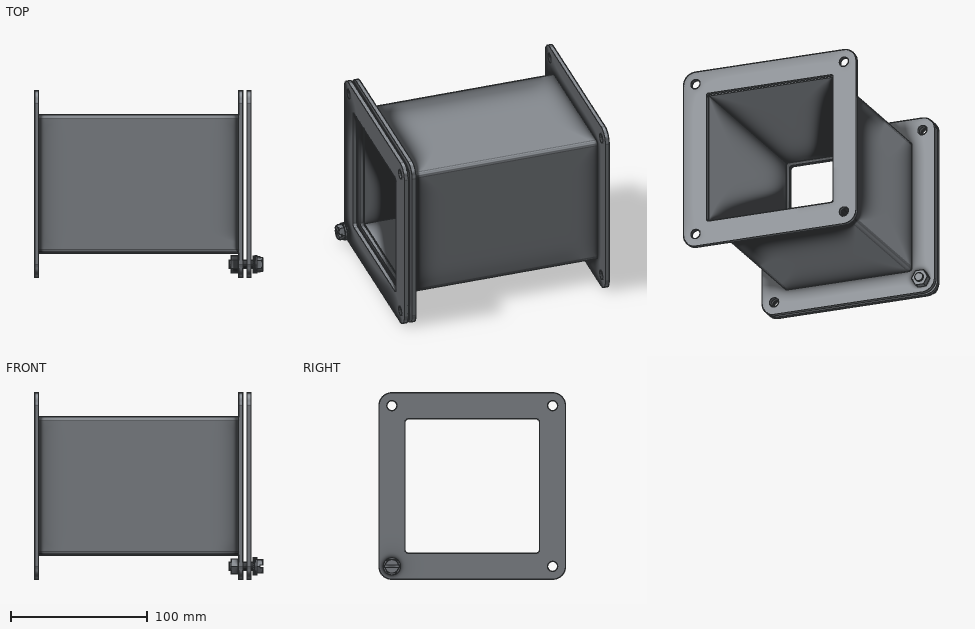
import cadquery as cq
import math

frame_side = 136.5
frame_thickness = 3.0
corner_radius = 9.5
flange_opening = 100.1
flange_opening_radius = 1.7
plate_opening_radius = 2.5
hole_diameter = 7.2
hole_offset = frame_side / 2 - corner_radius

duct_length = 146.2
duct_side = 101.5
duct_wall = 1.7
duct_corner_radius = 3.0
duct_inside = duct_side - 2 * duct_wall
plate_opening = duct_inside

plate_gap = 3.0
duct_start = frame_thickness
outlet_start = duct_start + duct_length
plate_start = outlet_start + frame_thickness + plate_gap
overall_length = 166.9

bolt_y = -hole_offset
bolt_z = -hole_offset
shank_diameter = 6.3
bolt_tip_x = 142.2
collar_diameter = 12.7
collar_thickness = 1.3
head_across_flats = 9.8
head_height = 4.3
head_tip_diameter = head_across_flats
head_chamfer_angle = 30.0
slot_width = 2.0
slot_depth = 2.0
head_start = overall_length - head_height
collar_start = head_start - collar_thickness

nut_across_flats = 11.0
nut_height = 5.0
nut_clearance = 0.5
nut_start = outlet_start - nut_clearance - nut_height

washer_diameter = 12.7
washer_root_diameter = 9.3
washer_hole_diameter = 6.5
washer_thickness = 1.2
washer_clearance = 0.5
tooth_count = 10
notch_angle = 180.0 / tooth_count
washer_start = collar_start - washer_clearance - washer_thickness


def plane_at(x, y=0.0, z=0.0):
    """Workplane facing +X, with local x along Y and local y along Z."""
    return cq.Workplane("YZ", origin=(x, y, z))


def bolt_plane(x):
    """Workplane facing +X, centred on the bolt axis."""
    return plane_at(x, bolt_y, bolt_z)


def make_frame(x, opening_side, opening_radius):
    hole_spacing = 2 * hole_offset
    frame = plane_at(x).rect(frame_side, frame_side).extrude(frame_thickness)
    frame = frame.edges("|X").fillet(corner_radius)
    opening = plane_at(x).rect(opening_side, opening_side).extrude(frame_thickness)
    opening = opening.edges("|X").fillet(opening_radius)
    holes = (
        plane_at(x)
        .rect(hole_spacing, hole_spacing, forConstruction=True)
        .vertices()
        .circle(hole_diameter / 2)
        .extrude(frame_thickness)
    )
    return frame.cut(opening).cut(holes)


def make_duct():
    """Square tube, rounded on its outside corners and sharp on the inside."""
    outside = plane_at(duct_start).rect(duct_side, duct_side).extrude(duct_length)
    outside = outside.edges("|X").fillet(duct_corner_radius)
    inside = plane_at(duct_start).rect(duct_inside, duct_inside).extrude(duct_length)
    return outside.cut(inside)


def disc(x, diameter, length):
    return bolt_plane(x).circle(diameter / 2).extrude(length)


def hexagon(x, across_flats, length):
    """Hexagonal prism with two corners along Y and flats facing +Z and -Z."""
    across_corners = across_flats / math.cos(math.pi / 6)
    return bolt_plane(x).polygon(6, across_corners).extrude(length)


def make_head():
    """Hexagon head with its corners turned off by a cone and a screwdriver slot along Y."""
    head = hexagon(head_start, head_across_flats, head_height)
    tip_radius = head_tip_diameter / 2
    cone_slope = math.tan(math.radians(head_chamfer_angle))
    base_radius = tip_radius + head_height * cone_slope
    cone = (
        bolt_plane(head_start)
        .circle(base_radius)
        .workplane(offset=head_height)
        .circle(tip_radius)
        .loft(combine=True)
    )
    slot = bolt_plane(overall_length - slot_depth).rect(collar_diameter, slot_width).extrude(slot_depth)
    return head.intersect(cone).cut(slot)


def make_bolt():
    shank = disc(bolt_tip_x, shank_diameter, collar_start - bolt_tip_x)
    collar = disc(collar_start, collar_diameter, collar_thickness)
    return shank.union(collar).union(make_head())


def make_nut():
    return hexagon(nut_start, nut_across_flats, nut_height).cut(disc(nut_start, shank_diameter, nut_height))


def make_notch(angle):
    """Wedge between two teeth, centred on an angle measured from +Y towards +Z."""
    outer_radius = washer_diameter
    half_width = outer_radius * math.tan(math.radians(notch_angle / 2))
    wedge = (
        bolt_plane(washer_start)
        .polyline([(0, 0), (outer_radius, -half_width), (outer_radius, half_width)])
        .close()
        .extrude(washer_thickness)
        .cut(disc(washer_start, washer_root_diameter, washer_thickness))
    )
    return wedge.rotate((0, bolt_y, bolt_z), (1, bolt_y, bolt_z), angle)


def make_washer():
    """Ring with outward teeth, one of them pointing along +Z and a notch along +Y."""
    ring = disc(washer_start, washer_diameter, washer_thickness)
    ring = ring.cut(disc(washer_start, washer_hole_diameter, washer_thickness))
    for index in range(tooth_count):
        ring = ring.cut(make_notch(index * 360.0 / tooth_count))
    return ring


flanges = [make_frame(x, flange_opening, flange_opening_radius) for x in (0.0, outlet_start)]
plate = make_frame(plate_start, plate_opening, plate_opening_radius)
duct = make_duct()
bolt = make_bolt()
nut = make_nut()
washer = make_washer()

result = cq.Compound.makeCompound(
    [flange.val() for flange in flanges]
    + [plate.val(), duct.val(), bolt.val(), nut.val(), washer.val()]
)